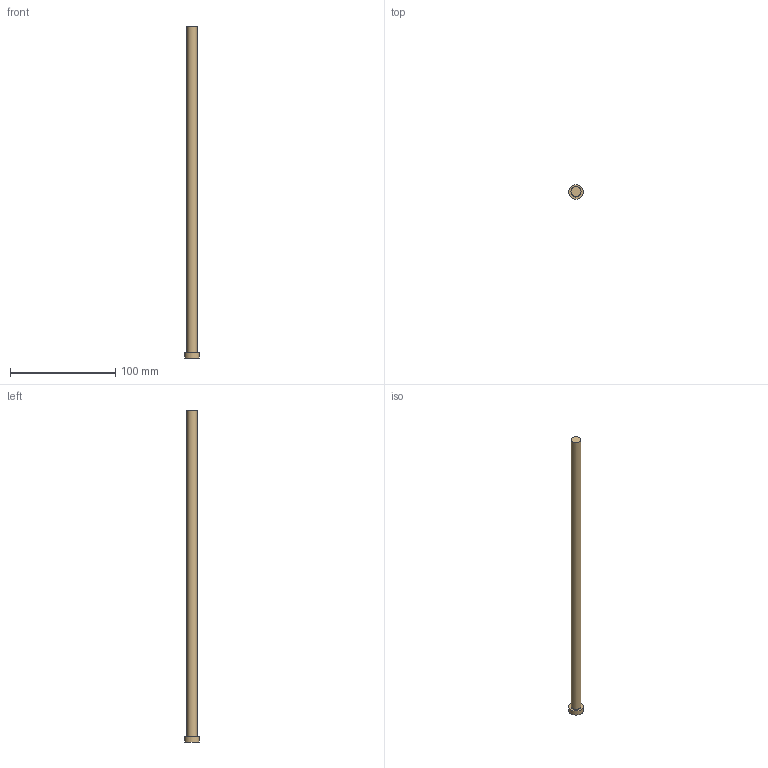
import cadquery as cq

total_length = 315.0
head_diameter = 14.0
head_height = 5.0
shaft_diameter = 9.5
shaft_length = total_length - head_height

head = cq.Workplane("XY").circle(head_diameter / 2).extrude(head_height)

result = head.faces(">Z").workplane().circle(shaft_diameter / 2).extrude(shaft_length)